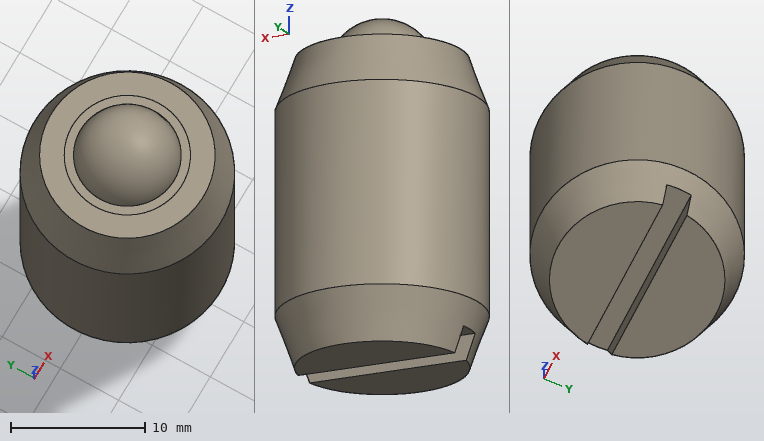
import cadquery as cq
import math

total_height = 27.1
ball_protrusion = 3.1
body_diameter = 16.0
taper_height = 4.0
taper_angle = 20.0
slot_width = 2.0
slot_depth = 2.0
ball_opening_diameter = 8.02
seat_diameter = 9.4
seat_wall = 0.8

body_height = total_height - ball_protrusion
body_radius = body_diameter / 2
end_radius = body_radius - taper_height * math.tan(math.radians(taper_angle))
opening_radius = ball_opening_diameter / 2
ball_radius = (opening_radius**2 + ball_protrusion**2) / (2 * ball_protrusion)
ball_center_z = total_height - ball_radius
seat_radius = seat_diameter / 2
seat_height = body_height - ball_center_z + ball_radius + seat_wall
seat_bottom_z = body_height - seat_height


def make_ball():
    return cq.Workplane("XY").sphere(ball_radius).translate((0, 0, ball_center_z))


def make_seat_blank():
    return cq.Workplane("XY").workplane(offset=seat_bottom_z).circle(seat_radius).extrude(seat_height)


def make_seat():
    """Cup that holds the ball in a matching spherical socket."""
    return make_seat_blank().cut(make_ball())


def make_housing():
    """Cylinder tapered at both ends, with a seat bore and a driver slot."""
    profile = [
        (0, 0),
        (end_radius, 0),
        (body_radius, taper_height),
        (body_radius, body_height - taper_height),
        (end_radius, body_height),
        (0, body_height),
    ]
    body = cq.Workplane("XZ").polyline(profile).close().revolve(360, (0, 0, 0), (0, 1, 0))
    slot = cq.Workplane("XY").box(body_diameter, slot_width, slot_depth, centered=(True, True, False))
    return body.cut(slot).cut(make_seat_blank())


housing = make_housing()
seat = make_seat()
ball = make_ball()
result = cq.Compound.makeCompound([housing.val(), seat.val(), ball.val()])